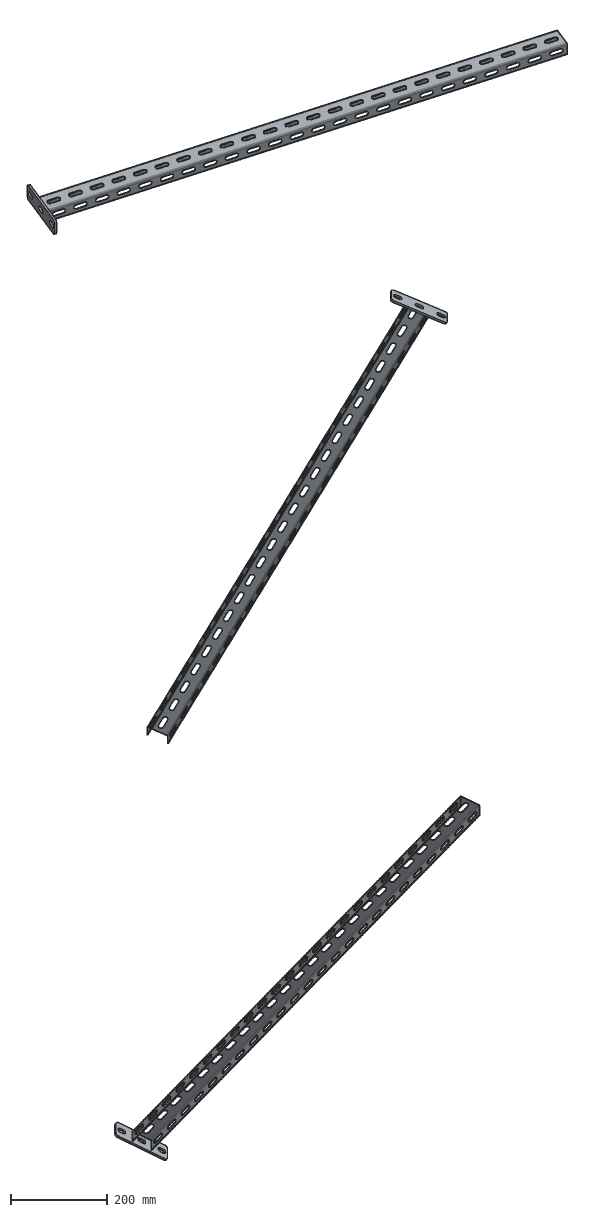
import cadquery as cq

SLOT_WIDTH = 11.0

PLATE_WIDTH = 130.0
PLATE_HEIGHT = 40.0
PLATE_THICKNESS = 5.1
PLATE_CORNER_RADIUS = 6.0
PLATE_SLOT_COUNT = 3
PLATE_SLOT_PITCH = 51.0
PLATE_SLOT_LENGTH = 19.0

TOTAL_LENGTH = 1205.0
CHANNEL_LENGTH = TOTAL_LENGTH - PLATE_THICKNESS
CHANNEL_WIDTH = 50.0
CHANNEL_HEIGHT = 30.0
SHEET_THICKNESS = 2.0
BEND_OUTER_RADIUS = 3.0
BEND_INNER_RADIUS = BEND_OUTER_RADIUS - SHEET_THICKNESS
CHANNEL_TOP = CHANNEL_HEIGHT / 2

SLOT_COUNT = 24
SLOT_PITCH = CHANNEL_LENGTH / SLOT_COUNT
SLOT_LENGTH = 30.0
SLOT_ROW_CENTER = PLATE_THICKNESS + CHANNEL_LENGTH / 2


def make_plate():
    """Flat round-cornered plate with a row of horizontal fixing slots."""
    plate = (
        cq.Workplane("XZ")
        .rect(PLATE_WIDTH, PLATE_HEIGHT)
        .extrude(-PLATE_THICKNESS)
        .edges("|Y")
        .fillet(PLATE_CORNER_RADIUS)
    )
    slots = (
        cq.Workplane("XZ")
        .rarray(PLATE_SLOT_PITCH, 12, PLATE_SLOT_COUNT, 1)
        .slot2D(PLATE_SLOT_LENGTH, SLOT_WIDTH)
        .extrude(-PLATE_THICKNESS)
    )
    return plate.cut(slots)


def channel_prism(width, top, bend_radius):
    """Bar with rounded upper edges, from the channel's lower edge up to the given top."""
    bottom = CHANNEL_TOP - CHANNEL_HEIGHT
    return (
        cq.Workplane("XZ", origin=(0, PLATE_THICKNESS, 0))
        .center(0, (top + bottom) / 2)
        .rect(width, top - bottom)
        .extrude(-CHANNEL_LENGTH)
        .edges("|Y and >Z")
        .fillet(bend_radius)
    )


def slot_row(plane, depth):
    """Row of lengthwise slot cutters, extruded both ways from a plane through the Y axis."""
    return (
        cq.Workplane(plane, origin=(0, SLOT_ROW_CENTER, 0))
        .rarray(12, SLOT_PITCH, 1, SLOT_COUNT)
        .slot2D(SLOT_LENGTH, SLOT_WIDTH, 90)
        .extrude(depth, both=True)
    )


def make_channel():
    """Bent-sheet U-channel with slots through its web and both flanges."""
    outside = channel_prism(CHANNEL_WIDTH, CHANNEL_TOP, BEND_OUTER_RADIUS)
    inside = channel_prism(
        CHANNEL_WIDTH - 2 * SHEET_THICKNESS,
        CHANNEL_TOP - SHEET_THICKNESS,
        BEND_INNER_RADIUS,
    )
    web_slots = slot_row("XY", CHANNEL_TOP)
    flange_slots = slot_row("ZY", CHANNEL_WIDTH / 2)
    return outside.cut(inside).cut(web_slots).cut(flange_slots)


plate = make_plate()
channel = make_channel()
result = cq.Compound.makeCompound([plate.val(), channel.val()])